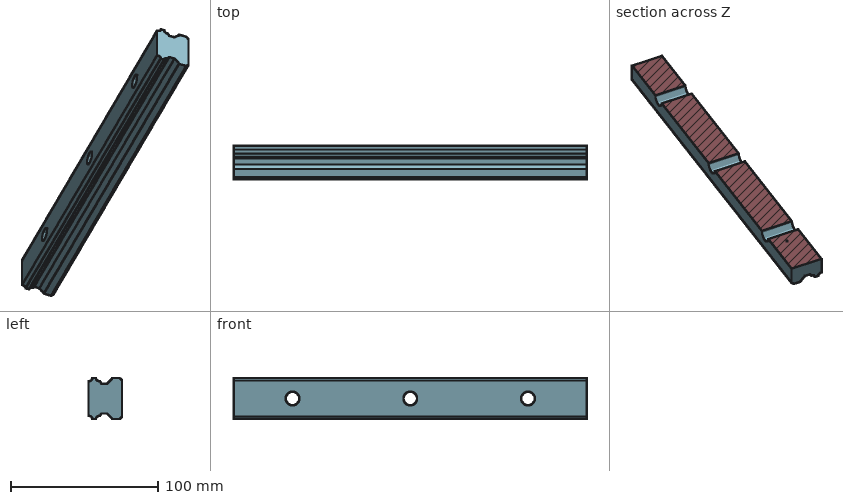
import cadquery as cq
import math

length = 240.0
width = 23.0
height = 28.0

hole_diameter = 9.0
hole_count = 3
hole_pitch = length / hole_count

chamfer = 1.7
ball_groove_depth = 2.2
lip_depth = 0.5
lug_outer_y = 9.0
lug_inner_y = 6.2
inner_groove_end_y = 3.5
relief_depth = 3.8
relief_start_y = 2.6
relief_end_y = -1.2
ramp_end_y = relief_end_y - (relief_depth - lip_depth)

half_width = width / 2
half_height = height / 2
groove_z = half_height - ball_groove_depth
lip_z = half_height - lip_depth
relief_z = half_height - relief_depth


def quarter_middle(lug_y, groove_end_y):
    """Middle of a concave elliptical quarter from the lip down to the groove floor."""
    corner_share = 1 - math.sin(math.pi / 4)
    y = lug_y + corner_share * (groove_end_y - lug_y)
    z = groove_z + corner_share * (lip_z - groove_z)
    return y, z


def upper_half():
    """Extruded half profile above the rail's mid-height plane."""
    profile = (
        cq.Workplane("YZ", origin=(-length / 2, 0, 0))
        .moveTo(-half_width, 0)
        .lineTo(-half_width, half_height - chamfer)
        .lineTo(-half_width + chamfer, half_height)
        .lineTo(ramp_end_y, half_height)
        .lineTo(ramp_end_y, lip_z)
        .lineTo(relief_end_y, relief_z)
        .lineTo(relief_start_y, relief_z)
        .lineTo(inner_groove_end_y, groove_z)
        .threePointArc(quarter_middle(lug_inner_y, inner_groove_end_y), (lug_inner_y, lip_z))
        .lineTo(lug_inner_y, half_height)
        .lineTo(lug_outer_y, half_height)
        .lineTo(lug_outer_y, lip_z)
        .threePointArc(quarter_middle(lug_outer_y, half_width), (half_width, groove_z))
        .lineTo(half_width, 0)
        .close()
    )
    return profile.extrude(length)


def mounting_holes():
    """Row of plain through holes along the rail."""
    return (
        cq.Workplane("XZ", origin=(0, half_width, 0))
        .rarray(hole_pitch, 2.5, hole_count, 1)
        .circle(hole_diameter / 2)
        .extrude(width)
    )


upper = upper_half()
rail = upper.union(upper.mirror("XY")).clean()
result = rail.cut(mounting_holes())